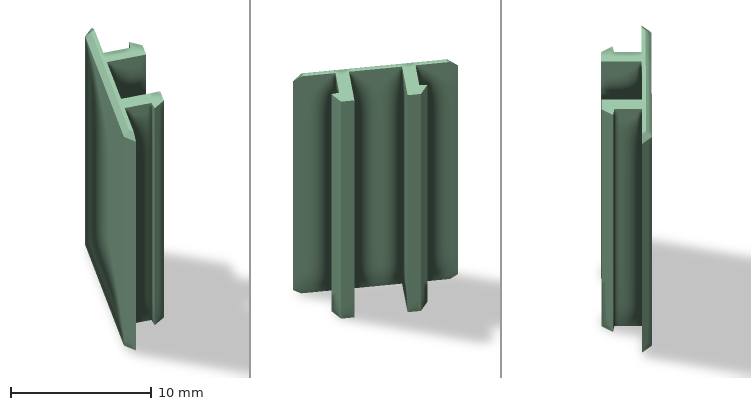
import cadquery as cq

height = 22.0
plate_width = 11.9
plate_thickness = 0.7
bevel_inset = plate_thickness
end_chamfer = 0.42

overall_depth = 3.6
leg_inner_x = 1.91
leg_outer_x = 2.88
barb_tip_x = 3.45
barb_tip_y = 2.77
barb_root_y = 2.68


def make_plate():
    """Cover plate, narrower at the front, with chamfered front and side edges at both ends."""
    back_x = plate_width / 2
    front_x = back_x - bevel_inset
    plate = (
        cq.Workplane("XY")
        .polyline([
            (-front_x, 0),
            (front_x, 0),
            (back_x, plate_thickness),
            (-back_x, plate_thickness),
        ])
        .close()
        .extrude(height)
    )
    return plate.faces("<Z or >Z").edges("not >Y").chamfer(end_chamfer)


def make_right_leg():
    """Full-height snap leg with an outward barb whose underside slopes slightly, rooted on the plate."""
    root_y = plate_thickness
    return (
        cq.Workplane("XY")
        .polyline([
            (leg_inner_x, root_y),
            (leg_outer_x, root_y),
            (leg_outer_x, barb_root_y),
            (barb_tip_x, barb_tip_y),
            (leg_outer_x, overall_depth),
            (leg_inner_x, overall_depth),
        ])
        .close()
        .extrude(height)
    )


right_leg = make_right_leg()
left_leg = right_leg.mirror("YZ")
result = make_plate().union(right_leg).union(left_leg)